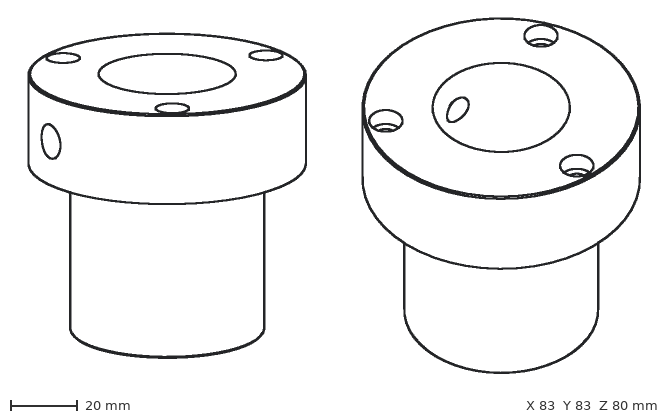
import cadquery as cq

flange_diameter = 83.0
sleeve_diameter = 58.0
bore_diameter = 41.0
total_height = 80.0
flange_height = 28.0
edge_chamfer = 0.5

screw_count = 3
screw_circle_radius = 35.0
screw_hole_diameter = 5.5
counterbore_diameter = 10.0
counterbore_depth = 5.5

radial_hole_diameter = 8.5
radial_counterbore_diameter = 10.45
radial_counterbore_depth = 14.9
radial_hole_below_top = 14.3

sleeve_height = total_height - flange_height
flange_radius = flange_diameter / 2
radial_hole_height = total_height - radial_hole_below_top


def make_body():
    sleeve = cq.Workplane("XY").circle(sleeve_diameter / 2).extrude(sleeve_height)
    sleeve = sleeve.faces("<Z").edges().chamfer(edge_chamfer)
    flange = (
        cq.Workplane("XY")
        .workplane(offset=sleeve_height)
        .circle(flange_radius)
        .extrude(flange_height)
    )
    flange = flange.faces(">Z").edges().chamfer(edge_chamfer)
    return sleeve.union(flange)


def cut_bore(body):
    bore = cq.Workplane("XY").circle(bore_diameter / 2).extrude(total_height)
    return body.cut(bore)


def cut_screw_holes(body):
    return (
        body.faces(">Z")
        .workplane(origin=(0, 0, total_height))
        .polarArray(screw_circle_radius, 90, 360, screw_count)
        .cboreHole(screw_hole_diameter, counterbore_diameter, counterbore_depth)
    )


def cut_radial_hole(body):
    axis_plane = cq.Workplane("XZ", origin=(0, 0, radial_hole_height))
    hole = axis_plane.circle(radial_hole_diameter / 2).extrude(flange_radius)
    counterbore = (
        axis_plane.workplane(offset=flange_radius - radial_counterbore_depth)
        .circle(radial_counterbore_diameter / 2)
        .extrude(radial_counterbore_depth)
    )
    return body.cut(hole).cut(counterbore)


result = cut_radial_hole(cut_screw_holes(cut_bore(make_body())))